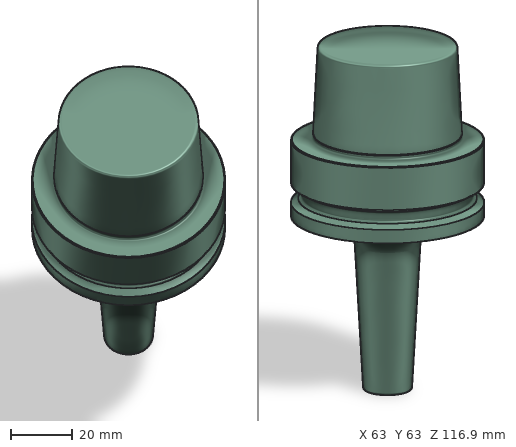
import cadquery as cq
import math


total_length = 116.9
taper_height = 32.0
tip_z = taper_height - total_length

taper_top_radius = 22.8
taper_base_radius = 24.3
taper_base_z = 2.0
taper_top_round = 1.2
neck_radius = 24.0
neck_top_z = 1.5
neck_round = 1.0

flange_radius = 63.0 / 2
flange_thickness = 26.0
flange_chamfer = 0.4

groove_center_z = -18.0
groove_radius = 27.7
groove_round = 0.9
groove_half_width = 2.0
groove_wall_radius = 29.1
groove_flare_angle = 30.0
groove_flare_height = (flange_radius - groove_wall_radius) * math.tan(math.radians(groove_flare_angle))
groove_mouth_half_width = groove_half_width + groove_flare_height

nose_root_radius = 10.8
nose_tip_round = 0.9
flare_radius = 10.0
nose_taper_angle = 3.2
nose_slope = math.radians(nose_taper_angle)
flare_center_r = nose_root_radius + flare_radius * math.cos(nose_slope)
flare_center_z = -flange_thickness - flare_radius
flare_tangent_z = flare_center_z + flare_radius * math.sin(nose_slope)
nose_tip_radius = nose_root_radius - (flare_tangent_z - tip_z) * math.tan(nose_slope)


def revolve_about_z(profile):
    """Turn a closed (radius, height) profile on the XZ plane about the Z axis."""
    return profile.close().revolve(360, (0, 0, 0), (0, 1, 0))


def make_shank():
    shank = revolve_about_z(
        cq.Workplane("XZ")
        .moveTo(0, -flange_thickness / 2)
        .lineTo(neck_radius, -flange_thickness / 2)
        .lineTo(neck_radius, neck_top_z)
        .lineTo(taper_base_radius, taper_base_z)
        .lineTo(taper_top_radius, taper_height)
        .lineTo(0, taper_height)
    )
    return shank.faces(">Z").edges().fillet(taper_top_round)


def make_neck_fillet():
    """Ring that blends the neck into the flange's upper face."""
    outer = neck_radius + neck_round
    arc_offset = neck_round * (1 - math.sqrt(0.5))
    return revolve_about_z(
        cq.Workplane("XZ")
        .moveTo(neck_radius, neck_round)
        .threePointArc((neck_radius + arc_offset, arc_offset), (outer, 0))
        .lineTo(outer, -flange_chamfer)
        .lineTo(neck_radius, -flange_chamfer)
    )


def make_flange():
    flange = cq.Workplane("XY").circle(flange_radius).extrude(-flange_thickness)
    return flange.faces(">Z").edges().chamfer(flange_chamfer)


def make_groove():
    """Cutter with a rounded flat floor, short side walls and a flared mouth."""
    floor_half = groove_half_width - groove_round
    round_end = groove_radius + groove_round
    arc_offset = groove_round * (1 - math.sqrt(0.5))
    mid_r = groove_radius + arc_offset
    mid_z = groove_half_width - arc_offset
    return revolve_about_z(
        cq.Workplane("XZ", origin=(0, 0, groove_center_z))
        .moveTo(flange_radius, groove_mouth_half_width)
        .lineTo(groove_wall_radius, groove_half_width)
        .lineTo(round_end, groove_half_width)
        .threePointArc((mid_r, mid_z), (groove_radius, floor_half))
        .lineTo(groove_radius, -floor_half)
        .threePointArc((mid_r, -mid_z), (round_end, -groove_half_width))
        .lineTo(groove_wall_radius, -groove_half_width)
        .lineTo(flange_radius, -groove_mouth_half_width)
    )


def make_nose():
    """Tapered nose whose root flares tangentially into the flange."""
    arc_middle_angle = (math.pi / 2 + math.pi - nose_slope) / 2
    arc_middle = (
        flare_center_r + flare_radius * math.cos(arc_middle_angle),
        flare_center_z + flare_radius * math.sin(arc_middle_angle),
    )
    overlap_z = -flange_thickness + flange_chamfer
    nose = revolve_about_z(
        cq.Workplane("XZ")
        .moveTo(0, tip_z)
        .lineTo(nose_tip_radius, tip_z)
        .lineTo(nose_root_radius, flare_tangent_z)
        .threePointArc(arc_middle, (flare_center_r, -flange_thickness))
        .lineTo(flare_center_r, overlap_z)
        .lineTo(0, overlap_z)
    )
    return nose.faces("<Z").edges().fillet(nose_tip_round)


flange = make_flange().cut(make_groove())
result = flange.union(make_shank()).union(make_neck_fillet()).union(make_nose())